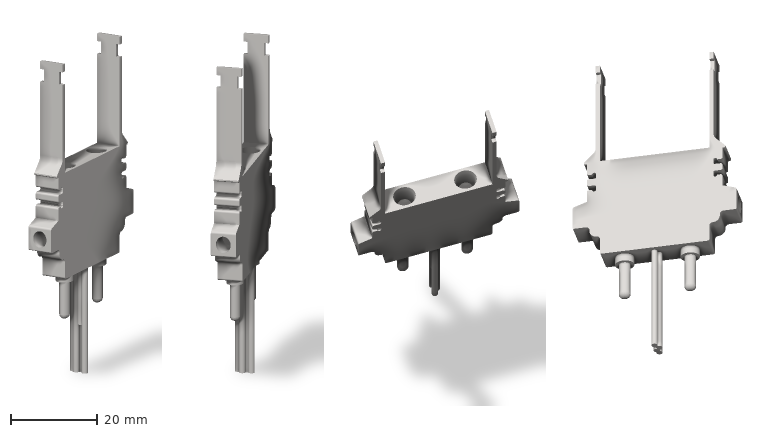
import cadquery as cq

thickness = 6.0
arm_top = 51.95
overall_height = 77.9
wire_bottom = arm_top - overall_height

skirt_half_width = 13.0
flange_half_width = 39.0 / 2
shoulder_half_width = 16.1
flange_bottom = 7.8
flange_top = 13.6
slope_top = 14.8
deck_height = 25.6
skirt_corner_radius = 0.5
flange_bottom_radius = 0.3
flange_top_radius = 0.55

skirt_fillet_radius = 0.8
bulge_radius = 1.7
flange_fillet_radius = 0.85
bulge_bottom = 4.9

arm_thickness = 1.0
arm_outer = skirt_half_width + arm_thickness
barb_half_width = 16.8
barb_bottom = 25.2
barb_top = 25.7
barb_bevel = 0.2
barb_slope_rise = barb_half_width - arm_outer
arm_bend_radius = 1.9
arm_neck_width = 4.05
arm_head_height = 1.9
arm_neck_height = 3.0

tooth_level = 20.0
tooth_half_height = 0.9
groove_mouth_radius = 0.5
groove_height = 1.2
groove_depth = 2.2
groove_inner_radius = 0.4
undercut_radius = 0.5

screw_hole_spacing = 14.8
screw_hole_size = (4.7, 5.3)
screw_floor_size = (2.8, 3.2)
screw_hole_depth = 4.3
entry_hole_size = (3.5, 4.0)
entry_hole_depth = 6.2
entry_hole_level = 10.75

pin_spacing = 15.6
collar_size = (4.0, 4.5)
collar_height = 1.95
pin_size = (2.4, 2.7)
pin_length = 11.1
pin_tip_radius = 1.0

wire_diameter = 1.5
short_wire_bottom = -14.3
wire_places = [(-2.0, 0.0), (-1.0, -0.43), (0.1, 0.43), (1.25, -0.43)]
short_wire_place = (0.1, -0.43)


def housing_outline():
    """Side outline of the housing: one half drawn out to +Y, then mirrored."""
    bulge_start = skirt_half_width + skirt_fillet_radius
    bulge_side = bulge_start + bulge_radius
    bulge_end = bulge_bottom + bulge_radius
    return (
        cq.Workplane("YZ")
        .moveTo(0, 0)
        .lineTo(skirt_half_width - skirt_corner_radius, 0)
        .radiusArc((skirt_half_width, skirt_corner_radius), -skirt_corner_radius)
        .lineTo(skirt_half_width, bulge_bottom - skirt_fillet_radius)
        .radiusArc((bulge_start, bulge_bottom), skirt_fillet_radius)
        .radiusArc((bulge_side, bulge_end), -bulge_radius)
        .lineTo(bulge_side, flange_bottom - flange_fillet_radius)
        .radiusArc((bulge_side + flange_fillet_radius, flange_bottom), flange_fillet_radius)
        .lineTo(flange_half_width, flange_bottom)
        .lineTo(flange_half_width, flange_top)
        .lineTo(shoulder_half_width, slope_top)
        .lineTo(shoulder_half_width, barb_bottom)
        .lineTo(barb_half_width - barb_bevel, barb_bottom)
        .lineTo(barb_half_width, barb_bottom + barb_bevel)
        .lineTo(barb_half_width, barb_top)
        .lineTo(arm_outer, barb_top + barb_slope_rise)
        .lineTo(arm_outer, arm_top)
        .lineTo(skirt_half_width, arm_top)
        .lineTo(skirt_half_width, deck_height)
        .lineTo(0, deck_height)
        .mirrorY()
    )


def fillet_at(body, y, z, radius):
    """Round the edge along X that passes through (y, z)."""
    edge = cq.selectors.NearestToPointSelector((0, y, z))
    return body.edges("|X").edges(edge).fillet(radius)


def upper_groove():
    """Cutter for the +Y groove above the tooth, with an undercut at its inner end."""
    bottom = tooth_level + tooth_half_height
    inner = shoulder_half_width - groove_depth
    slot = cq.Workplane("XY").box(thickness, 2 * groove_depth, groove_height, centered=(True, False, False))
    slot = slot.edges("|X and <Y").fillet(groove_inner_radius).translate((0, inner, bottom))
    undercut = (
        cq.Workplane("YZ")
        .center(inner + undercut_radius, bottom + groove_height)
        .circle(undercut_radius)
        .extrude(thickness / 2, both=True)
    )
    return slot.union(undercut)


def arm_notches():
    """Cutter for the two notches below the head of the +Y latch arm."""
    notch_depth = (thickness - arm_neck_width) / 2
    notch_offset = (thickness - notch_depth) / 2
    notch_level = arm_top - arm_head_height - arm_neck_height / 2
    return (
        cq.Workplane("XY")
        .pushPoints([(-notch_offset, arm_outer), (notch_offset, arm_outer)])
        .box(notch_depth, 2 * arm_thickness, arm_neck_height)
        .translate((0, 0, notch_level))
    )


def entry_hole():
    """Cutter for the wire entry hole in the +Y end of the flange."""
    return (
        cq.Workplane("XZ", origin=(0, flange_half_width, entry_hole_level))
        .ellipse(entry_hole_size[0] / 2, entry_hole_size[1] / 2)
        .extrude(entry_hole_depth)
    )


def screw_hole(y):
    """Cutter for an oval screw hole that narrows to a flat floor."""
    return (
        cq.Workplane("XY", origin=(0, y, deck_height))
        .ellipse(screw_hole_size[0] / 2, screw_hole_size[1] / 2)
        .workplane(offset=-screw_hole_depth)
        .ellipse(screw_floor_size[0] / 2, screw_floor_size[1] / 2)
        .loft()
    )


def wire(place, bottom):
    """One wire hanging from the housing underside."""
    return cq.Workplane("XY").center(*place).circle(wire_diameter / 2).extrude(bottom)


def make_housing():
    """Housing with its latch arms and the moulded-in wires."""
    body = housing_outline().extrude(thickness / 2, both=True)
    groove = upper_groove()
    side_cutters = [groove, groove.mirror("XY", (0, 0, tooth_level)), arm_notches(), entry_hole()]
    for cutter in side_cutters:
        body = body.cut(cutter).cut(cutter.mirror("XZ"))

    for side in (-1, 1):
        body = fillet_at(body, side * flange_half_width, flange_bottom, flange_bottom_radius)
        body = fillet_at(body, side * flange_half_width, flange_top, flange_top_radius)
        body = fillet_at(body, side * arm_outer, barb_top + barb_slope_rise, arm_bend_radius)
        for mouth_edge in (tooth_half_height, tooth_half_height + groove_height):
            for level in (tooth_level - mouth_edge, tooth_level + mouth_edge):
                body = fillet_at(body, side * shoulder_half_width, level, groove_mouth_radius)
        body = body.cut(screw_hole(side * screw_hole_spacing / 2))

    for place in wire_places:
        body = body.union(wire(place, wire_bottom))
    return body.union(wire(short_wire_place, short_wire_bottom))


def make_pin(y):
    """Oval contact pin with a rounded tip and a collar seated on the housing underside."""
    shank = cq.Workplane("XY").ellipse(pin_size[0] / 2, pin_size[1] / 2).extrude(-pin_length)
    shank = shank.faces("<Z").edges().fillet(pin_tip_radius)
    collar = cq.Workplane("XY").ellipse(collar_size[0] / 2, collar_size[1] / 2).extrude(-collar_height)
    return shank.union(collar).translate((0, y, 0))


housing = make_housing()
pins = [make_pin(side * pin_spacing / 2) for side in (-1, 1)]

result = cq.Compound.makeCompound([housing.val(), *[pin.val() for pin in pins]])